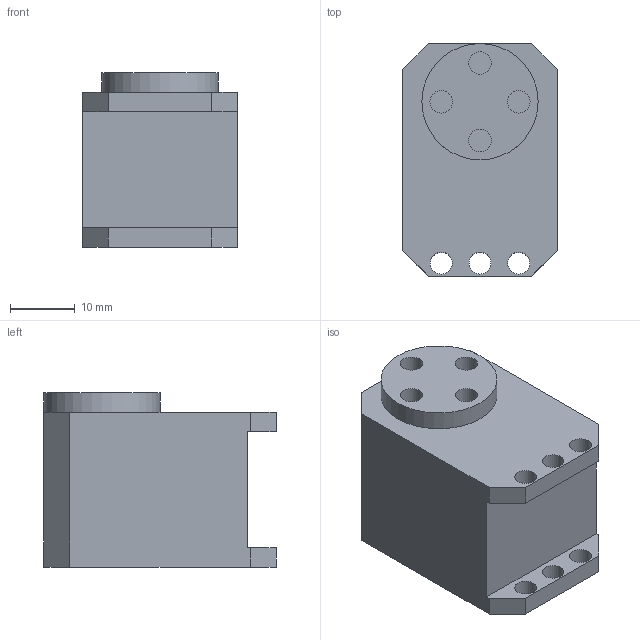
import cadquery as cq

body_width = 24.0
body_length = 36.0
body_height = 24.0
corner_chamfer = 4.0

flange_thickness = 3.0
flange_overhang = 4.5

mount_hole_diameter = 3.4
mount_hole_count = 3
mount_hole_spacing = 6.0
mount_hole_edge_distance = 2.0

horn_diameter = 18.0
horn_thickness = 3.0
horn_hole_diameter = 3.5
horn_hole_count = 4
horn_hole_circle_radius = 6.0
horn_hole_depth = horn_thickness

horn_center_y = body_length / 2 - horn_diameter / 2
mount_hole_y = -body_length / 2 + mount_hole_edge_distance


def make_housing():
    """Block with its four vertical corners chamfered."""
    block = cq.Workplane("XY").box(
        body_width, body_length, body_height, centered=(True, True, False)
    )
    return block.edges("|Z").chamfer(corner_chamfer)


def make_flange_gap():
    """Full-width cutter that separates the two flanges at the -Y end."""
    gap_height = body_height - 2 * flange_thickness
    return (
        cq.Workplane("XY")
        .box(body_width, flange_overhang, gap_height, centered=(True, False, False))
        .translate((0, -body_length / 2, flange_thickness))
    )


def make_mount_holes():
    """Row of cylinders that pierce both flanges."""
    return (
        cq.Workplane("XY")
        .center(0, mount_hole_y)
        .rarray(mount_hole_spacing, 1, mount_hole_count, 1)
        .circle(mount_hole_diameter / 2)
        .extrude(body_height)
    )


def make_horn():
    """Disc with a ring of holes, standing on the top of the housing."""
    disc = (
        cq.Workplane("XY", origin=(0, horn_center_y, body_height))
        .circle(horn_diameter / 2)
        .extrude(horn_thickness)
    )
    holes = (
        cq.Workplane("XY", origin=(0, horn_center_y, body_height + horn_thickness))
        .polarArray(horn_hole_circle_radius, 0, 360, horn_hole_count)
        .circle(horn_hole_diameter / 2)
        .extrude(-horn_hole_depth)
    )
    return disc.cut(holes)


housing = make_housing().cut(make_flange_gap()).cut(make_mount_holes())
result = housing.union(make_horn())